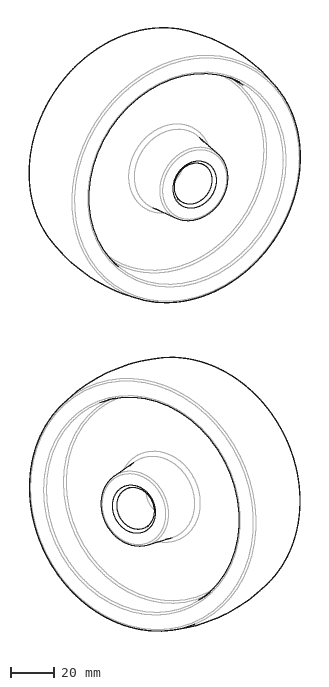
import cadquery as cq
import math

wheel_radius = 62.5
hub_length = 58.0
rim_width = 43.0
web_thickness = 10.0
crown_drop = 2.2
rim_inner_radius = 51.5
rim_draft = 3.0
hub_end_radius = 17.9
hub_draft = 5.0
bore_radius = 10.0
bore_chamfer = 1.5
edge_round = 1.0
hub_root_round = 2.0

half_hub = hub_length / 2
half_rim = rim_width / 2
half_web = web_thickness / 2
rim_depth = half_rim - half_web
hub_height = half_hub - half_web
rim_root_radius = rim_inner_radius - rim_depth * math.tan(math.radians(rim_draft))
hub_root_radius = hub_end_radius + hub_height * math.tan(math.radians(hub_draft))
tread_edge_radius = wheel_radius - crown_drop


def revolve_about_x(profile):
    return profile.close().revolve(360, (0, 0, 0), (1, 0, 0))


def wheel_blank():
    """Solid disc with a crowned tread."""
    return revolve_about_x(
        cq.Workplane("XY")
        .moveTo(-half_rim, 0)
        .lineTo(-half_rim, tread_edge_radius)
        .threePointArc((0, wheel_radius), (half_rim, tread_edge_radius))
        .lineTo(half_rim, 0)
    )


def side_recess(side):
    """Drafted round recess from the rim face to the web; side is -1 or 1."""
    return revolve_about_x(
        cq.Workplane("XY")
        .moveTo(side * half_web, 0)
        .lineTo(side * half_web, rim_root_radius)
        .lineTo(side * half_rim, rim_inner_radius)
        .lineTo(side * half_rim, 0)
    )


def hub():
    """Hub tapering from the web towards both ends."""
    return revolve_about_x(
        cq.Workplane("XY")
        .moveTo(-half_hub, 0)
        .lineTo(-half_hub, hub_end_radius)
        .lineTo(-half_web, hub_root_radius)
        .lineTo(half_web, hub_root_radius)
        .lineTo(half_hub, hub_end_radius)
        .lineTo(half_hub, 0)
    )


def round_rings(solid, x, radius, rounding):
    """Round the circular edges of the given radius at both -x and +x."""
    margin = 0.06
    rings = solid.edges("%CIRCLE").filter(
        lambda edge: abs(abs(edge.Center().x) - x) < margin and abs(edge.radius() - radius) < margin
    )
    return rings.fillet(rounding)


body = wheel_blank()
for side in (-1, 1):
    body = body.cut(side_recess(side))
body = body.union(hub())

body = round_rings(body, half_web, hub_root_radius, hub_root_round)
body = round_rings(body, half_web, rim_root_radius, edge_round)
body = round_rings(body, half_rim, rim_inner_radius, edge_round)
body = round_rings(body, half_rim, tread_edge_radius, edge_round)
body = round_rings(body, half_hub, hub_end_radius, edge_round)

bore = cq.Workplane("YZ").circle(bore_radius).extrude(half_hub, both=True)
body = body.cut(bore)
result = body.faces("<X or >X").edges(cq.selectors.RadiusNthSelector(0)).chamfer(bore_chamfer)